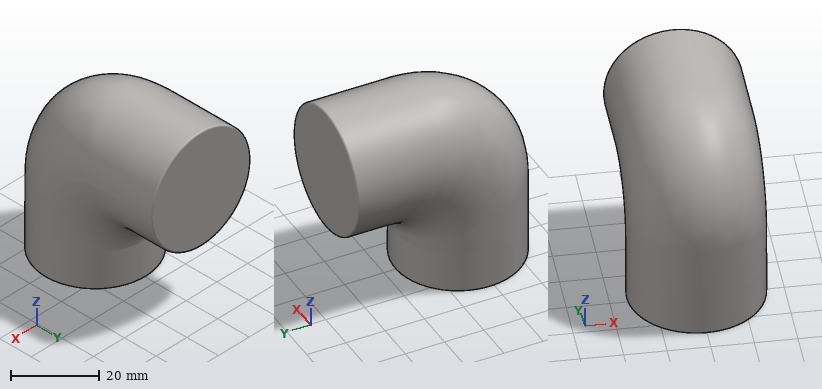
import cadquery as cq
import math

overall = 49.7
diameter = 32.0
collar_length = 10.35
outer_radius = 27.1
rim_radius = 0.5
section_count = 33

radius = diameter / 2
leg_centre = overall / 2 - radius
collar_start = overall / 2 - collar_length
inner_radius = overall - collar_length - diameter

pivot_y = collar_start
pivot_z = -collar_start


def outer_reach(angle):
    """Distance from the pivot to the outer outline along a section direction."""
    straight_reach = overall - collar_length
    flat_length = straight_reach - outer_radius
    half_angle = min(angle, math.pi / 2 - angle)
    if math.tan(half_angle) * straight_reach <= flat_length:
        return straight_reach / math.cos(half_angle)
    along = flat_length * (math.cos(angle) + math.sin(angle))
    across = flat_length * (math.cos(angle) - math.sin(angle))
    return along + math.sqrt(outer_radius**2 - across**2)


def section_wire(angle):
    """Elliptical section, full width in X, spanning inner to outer outline."""
    reach = outer_reach(angle)
    middle = (inner_radius + reach) / 2
    outward_y = -math.cos(angle)
    outward_z = math.sin(angle)
    centre = cq.Vector(0, pivot_y + middle * outward_y, pivot_z + middle * outward_z)
    normal = cq.Vector(0, outward_z, -outward_y)
    return cq.Wire.makeEllipse(
        radius,
        (reach - inner_radius) / 2,
        centre,
        normal,
        cq.Vector(1, 0, 0),
    )


def collar(centre, direction):
    """Cylindrical collar with a rounded rim at its free end."""
    plane = cq.Plane(origin=centre, xDir=(1, 0, 0), normal=direction)
    body = cq.Workplane(plane).circle(radius).extrude(collar_length)
    free_end = cq.selectors.DirectionMinMaxSelector(cq.Vector(*direction))
    return body.faces(free_end).edges().fillet(rim_radius)


angles = [i * math.pi / 2 / (section_count - 1) for i in range(section_count)]
bend = cq.Workplane(cq.Solid.makeLoft([section_wire(angle) for angle in angles]))

lower_collar = collar((0, -leg_centre, -collar_start), (0, 0, -1))
rear_collar = collar((0, collar_start, leg_centre), (0, 1, 0))

result = bend.union(lower_collar).union(rear_collar)